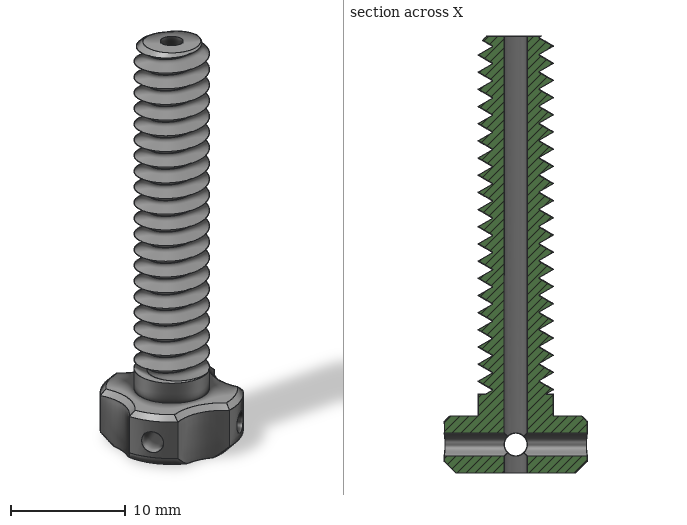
import cadquery as cq
import math

total_length = 38.12
head_diameter = 12.5
head_height = 5.0
collar_top = 6.9
bore_diameter = 2.0

grip_count = 4
grip_radius = 4.45
grip_depth = 1.37
head_top_chamfer = 0.5
head_bottom_chamfer = 1.03

thread_diameter = 6.6
ten_turn_advance = 15.0
pitch = ten_turn_advance / 10
root_flat = 0.05
flank_half_angle = 30
tip_chamfer = 0.75

ridge_embed = 0.2
overrun_turns = 1
quarter_turn = 0.25
trim_clearance = 0.4

head_radius = head_diameter / 2
grip_centre_radius = head_radius - grip_depth + grip_radius
thread_radius = thread_diameter / 2
thread_length = total_length - collar_top
ridge_half_width = (pitch - root_flat) / 2
core_radius = thread_radius - ridge_half_width / math.tan(math.radians(flank_half_angle))


def make_head():
    """Disc with a coned underside, grip scallops and a chamfered top rim."""
    head = cq.Workplane("XY").circle(head_radius).extrude(head_height)
    head = head.faces("<Z").chamfer(head_bottom_chamfer)
    grips = (
        cq.Workplane("XY")
        .polarArray(grip_centre_radius, 180 / grip_count, 360, grip_count)
        .circle(grip_radius)
        .extrude(head_height)
    )
    return head.cut(grips).faces(">Z").edges().chamfer(head_top_chamfer)


def make_ridge_turn_faces(profile, start_z):
    """Helical strips for one turn of the closed ridge profile, starting on the +X axis."""
    edges = [
        cq.Wire.makeHelix(pitch, pitch, radius).translate(cq.Vector(0, 0, start_z + height))
        for radius, height in profile
    ]
    next_edges = edges[1:] + edges[:1]
    return [cq.Face.makeRuledSurface(*pair) for pair in zip(edges, next_edges)]


def make_ridge_end_face(profile, end_z):
    """Flat end of the ridge, in the plane of the +X and Z axes."""
    corners = [cq.Vector(radius, 0, end_z + height) for radius, height in profile]
    return cq.Face.makeFromWires(cq.Wire.makePolygon(corners, close=True))


def make_thread_ridge():
    """Solid ridge running past both ends of the shank.

    Its turns join at -Y and its crest meets the collar top at +X.
    """
    profile = [
        (core_radius - ridge_embed, -ridge_half_width),
        (core_radius, -ridge_half_width),
        (thread_radius, 0),
        (core_radius, ridge_half_width),
        (core_radius - ridge_embed, ridge_half_width),
    ]
    turn_count = math.ceil(thread_length / pitch) + 2 * overrun_turns
    start_z = collar_top - (overrun_turns + quarter_turn) * pitch
    end_z = start_z + turn_count * pitch
    faces = [make_ridge_end_face(profile, start_z), make_ridge_end_face(profile, end_z)]
    for turn in range(turn_count):
        faces += make_ridge_turn_faces(profile, start_z + turn * pitch)
    ridge = cq.Solid.makeSolid(cq.Shell.makeShell(faces))
    return cq.Workplane(obj=ridge).rotate((0, 0, 0), (0, 0, 1), -360 * quarter_turn)


def make_threaded_shank():
    """Core rod with the ridge trimmed flat at the collar and to a cone at the tip."""
    envelope = (
        cq.Workplane("XY", origin=(0, 0, collar_top))
        .circle(thread_radius + trim_clearance)
        .extrude(thread_length)
        .faces(">Z")
        .chamfer(tip_chamfer + trim_clearance)
    )
    core = cq.Workplane("XY", origin=(0, 0, collar_top)).circle(core_radius).extrude(thread_length)
    return make_thread_ridge().intersect(envelope).union(core)


def make_cross_hole(plane):
    """Hole straight through the head at half its height, square to the given plane."""
    return (
        cq.Workplane(plane, origin=(0, 0, head_height / 2))
        .circle(bore_diameter / 2)
        .extrude(head_radius, both=True)
    )


collar = cq.Workplane("XY").circle(thread_radius).extrude(collar_top)
bore = cq.Workplane("XY").circle(bore_diameter / 2).extrude(total_length)

knob = make_head().union(collar).cut(bore)
for side_plane in ("XZ", "YZ"):
    knob = knob.cut(make_cross_hole(side_plane))
result = knob.union(make_threaded_shank().cut(bore))